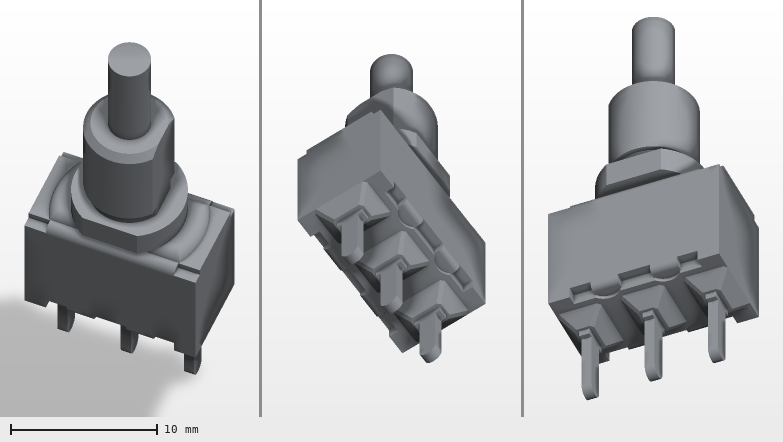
import cadquery as cq

body_length = 12.7
body_width = 6.9
body_height = 8.9

core_width = 5.4
shelf_height = 8.4

plate_length = 9.5
plate_bottom = 0.85
plate_fillet = 0.65

tab_length = 2.0
tab_spacing = 4.4
tab_bottom = 0.25
tab_bend_radius = 0.42

recess_length = 1.84
recess_depth = 0.4

crown_top = 9.5
crown_radius = 5.55
crown_fillet = 0.85

nut_radius = 4.0
nut_height = 1.95

neck_radius = 2.82
neck_height = 0.95
barrel_radius = 6.35 / 2
barrel_height = 6.62
barrel_chamfer = 0.5
flat_offset = 2.53

plunger_radius = 2.95 / 2
plunger_top = 26.15

terminal_count = 3
terminal_pitch = 4.7
terminal_thickness = 0.75
terminal_width = 1.32
terminal_length = 6.35
shoulder_width = 2.08
shoulder_bottom = 1.46
mound_length = 3.3
mound_width = 4.35
mound_height = 1.0
mound_corner_chamfer = 0.24
mound_bottom_inset = 0.92


def box_on(length, width, bottom, top):
    """Box centred on the Z axis between two heights."""
    return cq.Workplane("XY").workplane(offset=bottom).rect(length, width).extrude(top - bottom)


def cylinder_on(radius, bottom, top):
    """Cylinder on the Z axis between two heights."""
    return cq.Workplane("XY").workplane(offset=bottom).circle(radius).extrude(top - bottom)


def make_body():
    core = box_on(body_length, core_width, 0, body_height)
    end_length = (body_length - plate_length) / 2
    end_center = (body_length - end_length) / 2
    for side in (-1, 1):
        end_block = box_on(end_length, body_width, 0, shelf_height)
        core = core.union(end_block.translate((side * end_center, 0, 0)))
    return core


def cut_tab_recesses(core):
    for x in (-tab_spacing / 2, tab_spacing / 2):
        for side in (-1, 1):
            wall = side * core_width / 2
            recess = (
                cq.Workplane("XY")
                .moveTo(x - recess_length / 2, wall)
                .threePointArc((x, wall - side * recess_depth), (x + recess_length / 2, wall))
                .close()
                .extrude(tab_bottom)
            )
            core = core.cut(recess)
    return core


def make_side_plates():
    plates = box_on(plate_length, body_width, plate_bottom, body_height)
    return plates.edges("|X and >Z").fillet(plate_fillet)


def make_tabs():
    tabs = cq.Workplane("XY")
    for side in (-1, 1):
        tab = box_on(tab_length, body_width, tab_bottom, plate_bottom)
        tab = tab.edges("|X and <Z").fillet(tab_bend_radius)
        tabs = tabs.union(tab.translate((side * tab_spacing / 2, 0, 0)))
    return tabs


def make_crown():
    bottom = crown_top - 2 * crown_fillet
    disc = cylinder_on(crown_radius, bottom, crown_top)
    crown = disc.intersect(box_on(body_length, core_width, bottom, crown_top))
    return crown.faces(">Z").edges().fillet(crown_fillet)


def make_bushing():
    nut_top = crown_top + nut_height
    neck_top = nut_top + neck_height
    barrel_top = neck_top + barrel_height
    nut = cylinder_on(nut_radius, crown_top, nut_top)
    nut = nut.intersect(box_on(body_length, body_width, crown_top, nut_top))
    barrel = cylinder_on(barrel_radius, neck_top, barrel_top).faces(">Z").chamfer(barrel_chamfer)
    barrel = barrel.union(cylinder_on(neck_radius, nut_top, neck_top))
    flat_cutter = box_on(body_length, body_width, nut_top, barrel_top)
    barrel = barrel.cut(flat_cutter.translate((flat_offset + body_length / 2, 0, 0)))
    plunger = cylinder_on(plunger_radius, barrel_top, plunger_top)
    return nut.union(barrel).union(plunger)


def mound_outline(inset):
    """Rectangle with chamfered corners, drawn inside the mound's root outline."""
    outline = cq.Sketch().rect(mound_length - 2 * inset, mound_width - 2 * inset)
    return outline.vertices().chamfer(mound_corner_chamfer)


def make_mound():
    root = mound_outline(0)
    foot = mound_outline(mound_bottom_inset).moved(cq.Location(cq.Vector(0, 0, -mound_height)))
    return cq.Workplane("XY").placeSketch(root, foot).loft()


def make_terminal():
    tip_radius = terminal_width / 2
    blade = box_on(terminal_thickness, terminal_width, tip_radius - terminal_length, 0)
    tip = cq.Workplane("YZ").center(0, tip_radius - terminal_length).circle(tip_radius)
    tip = tip.extrude(terminal_thickness / 2, both=True)
    shoulder = box_on(terminal_thickness, shoulder_width, -shoulder_bottom, 0)
    return blade.union(tip).union(shoulder)


result = cut_tab_recesses(make_body())
for piece in (make_side_plates(), make_tabs(), make_crown(), make_bushing()):
    result = result.union(piece)
terminal = make_mound().union(make_terminal())
for index in range(terminal_count):
    x = (index - (terminal_count - 1) / 2) * terminal_pitch
    result = result.union(terminal.translate((x, 0, 0)))